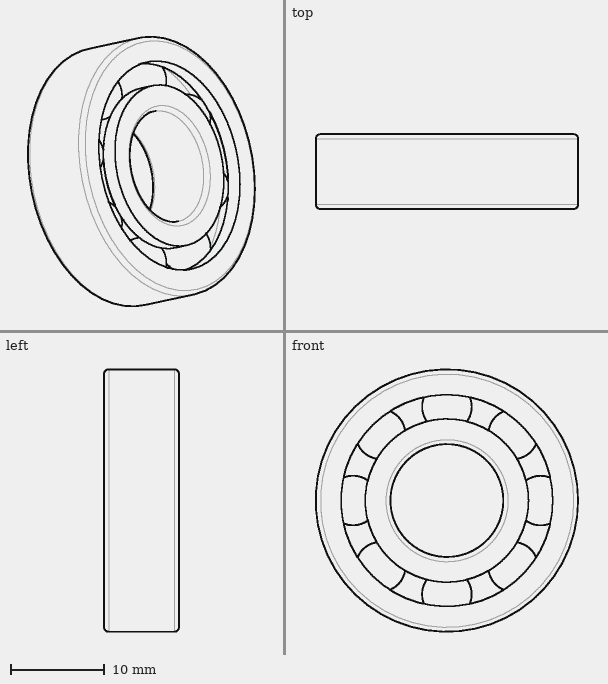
import cadquery as cq

outer_diameter = 28.0
width = 8.0
bore_diameter = 12.0
edge_radius = 0.5
inner_shoulder_radius = 8.7
outer_shoulder_radius = 11.28
ball_radius = 2.65
ball_count = 8

outer_radius = outer_diameter / 2
bore_radius = bore_diameter / 2
pitch_radius = (inner_shoulder_radius + outer_shoulder_radius) / 2
ball_spacing = 360 / ball_count


def cylinder_about_y(radius):
    """Cylinder of the full bearing width, centred on the origin."""
    return cq.Workplane("XZ", origin=(0, width / 2, 0)).circle(radius).extrude(width)


def raceway():
    """Ring of circular section that the balls sweep, cut as a groove in both rings."""
    section = cq.Workplane("XY").center(pitch_radius, 0).circle(ball_radius)
    return section.revolve(360, (-pitch_radius, 0), (-pitch_radius, 1))


def make_outer_ring():
    rim = cylinder_about_y(outer_radius).edges("%CIRCLE").fillet(edge_radius)
    return rim.cut(cylinder_about_y(outer_shoulder_radius)).cut(raceway())


def make_inner_ring():
    blank = cylinder_about_y(inner_shoulder_radius).cut(cylinder_about_y(bore_radius))
    bore_edges = cq.selectors.RadiusNthSelector(0)
    return blank.edges("%CIRCLE").edges(bore_edges).fillet(edge_radius).cut(raceway())


def make_ball(angle):
    """Ball on the pitch circle, turned by angle about the bearing axis."""
    ball = cq.Workplane("XY").sphere(ball_radius).translate((0, 0, pitch_radius))
    return ball.rotate((0, 0, 0), (0, 1, 0), angle)


outer_ring = make_outer_ring()
inner_ring = make_inner_ring()
balls = [make_ball(index * ball_spacing) for index in range(ball_count)]

result = cq.Compound.makeCompound(
    [outer_ring.val(), inner_ring.val(), *[ball.val() for ball in balls]]
)